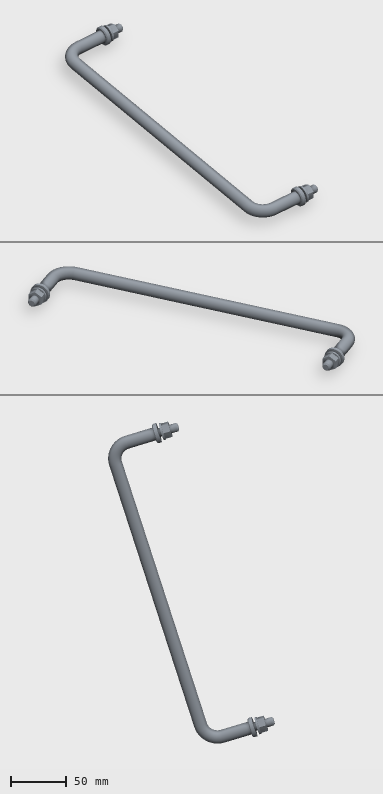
import cadquery as cq

OVERALL_LENGTH = 306.0
OVERALL_DEPTH = 70.0

ROD_DIAMETER = 12.0
BEND_RADIUS = 16.0
STUD_DIAMETER = 8.0
STUD_CHAMFER = 1.2

COLLAR_DIAMETER = 18.0
COLLAR_THICKNESS = 4.0
COLLAR_CHAMFER = 1.0
WASHER_DIAMETER = 16.0
WASHER_THICKNESS = 1.8
NUT_ACROSS_FLATS = 13.0
NUT_THICKNESS = 6.5

STUD_BEYOND_NUT = 7.5
WASHER_TO_COLLAR_GAP = 2.5
STUD_TIP_Y = OVERALL_DEPTH - ROD_DIAMETER / 2
NUT_Y = STUD_TIP_Y - STUD_BEYOND_NUT - NUT_THICKNESS
WASHER_Y = NUT_Y - WASHER_THICKNESS
COLLAR_Y = WASHER_Y - WASHER_TO_COLLAR_GAP - COLLAR_THICKNESS

LEG_X = (OVERALL_LENGTH - COLLAR_DIAMETER) / 2


def plane_on_leg(x, y):
    """Plane centred on a leg, with its normal along +Y and its local X along global X."""
    return cq.Plane(origin=(x, y, 0), xDir=(1, 0, 0), normal=(0, 1, 0))


def make_stud(x):
    """Chamfered stud standing on the end face of a leg."""
    stud = cq.Workplane(plane_on_leg(x, COLLAR_Y)).circle(STUD_DIAMETER / 2).extrude(STUD_TIP_Y - COLLAR_Y)
    return stud.faces(">Y").chamfer(STUD_CHAMFER)


def make_handle():
    """Round rod bent into a U, with a stud at each end."""
    path = (
        cq.Workplane("XY")
        .moveTo(-LEG_X, COLLAR_Y)
        .lineTo(-LEG_X, BEND_RADIUS)
        .radiusArc((-LEG_X + BEND_RADIUS, 0), -BEND_RADIUS)
        .lineTo(LEG_X - BEND_RADIUS, 0)
        .radiusArc((LEG_X, BEND_RADIUS), -BEND_RADIUS)
        .lineTo(LEG_X, COLLAR_Y)
    )
    rod = cq.Workplane(plane_on_leg(-LEG_X, COLLAR_Y)).circle(ROD_DIAMETER / 2).sweep(path)
    for x in (-LEG_X, LEG_X):
        rod = rod.union(make_stud(x))
    return rod


def make_collar(x):
    """Ring seated on the shoulder of a leg, chamfered on its grip side."""
    disc = cq.Workplane(plane_on_leg(x, COLLAR_Y)).circle(COLLAR_DIAMETER / 2).extrude(COLLAR_THICKNESS)
    return disc.faces("<Y").chamfer(COLLAR_CHAMFER).faces(">Y").workplane().hole(STUD_DIAMETER)


def make_washer(x):
    """Flat ring under the nut."""
    rings = cq.Workplane(plane_on_leg(x, WASHER_Y)).circle(WASHER_DIAMETER / 2).circle(STUD_DIAMETER / 2)
    return rings.extrude(WASHER_THICKNESS)


def make_nut(x):
    """Hexagon nut with two of its flats facing along X."""
    hexagon = cq.Workplane(plane_on_leg(x, NUT_Y)).polygon(6, NUT_ACROSS_FLATS, circumscribed=True)
    return hexagon.circle(STUD_DIAMETER / 2).extrude(NUT_THICKNESS)


bodies = [make_handle().val()]
for leg_x in (-LEG_X, LEG_X):
    for make_body in (make_collar, make_washer, make_nut):
        bodies.append(make_body(leg_x).val())

result = cq.Compound.makeCompound(bodies)